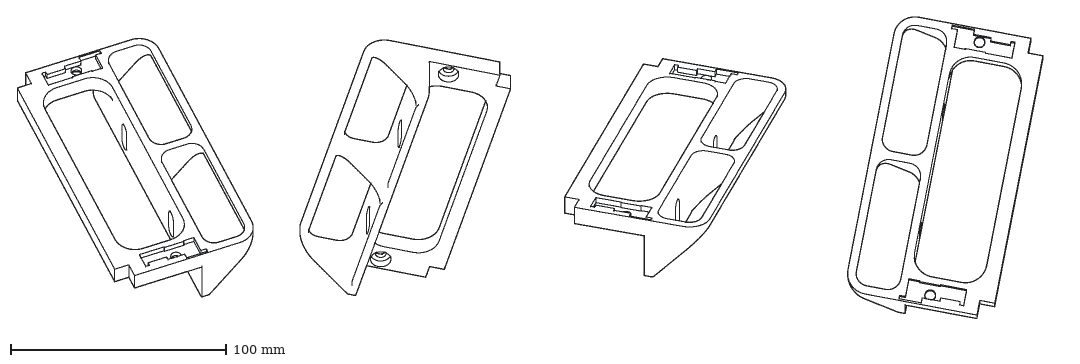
import cadquery as cq

WIDTH = 133.4
DEPTH = 70.0
HEIGHT = 32.0
PLATE_THICKNESS = 9.1
WALL = 4.0
CORNER_RADIUS = 10.0

NOTCH = 7.1

FRONT_WINDOW_WIDTH = 105.6
WALL_FRONT_Y = 41.1
FRONT_WINDOW_RADIUS = 10.0

REAR_WINDOW_RADIUS = 6.0
WALL_BACK_Y = WALL_FRONT_Y + WALL
REAR_EDGE_HEIGHT = 4.0
WEDGE_FILLET = 0.49 * WALL

SLOT_SPACING = 57.1
SLOT_WIDTH = 5.6
SLOT_LENGTH = 16.0
SLOT_CENTRE_Z = -20.0

POCKET_DEPTH = 2.8
HOLE_DIAMETER = 5.0
COUNTERBORE_DIAMETER = 9.5
COUNTERBORE_DEPTH = 3.9
HOLE_INSET = 5.7
HOLE_Y = 30.3

POCKET_OUTLINE = [
    (0.8, 44.1),
    (2.4, 44.1),
    (2.4, 41.3),
    (11.0, 41.3),
    (11.0, 36.1),
    (10.5, 36.1),
    (10.5, 26.4),
    (11.0, 26.4),
    (11.0, 14.0),
    (3.2, 14.0),
    (3.2, 15.9),
    (4.8, 15.9),
    (4.8, 25.2),
    (3.2, 25.2),
    (3.2, 33.6),
    (0.8, 33.6),
]


def make_body():
    """Plate and hanging wedge in one side profile, with rounded rear corners."""
    profile = [
        (0, 0),
        (DEPTH, 0),
        (DEPTH, -REAR_EDGE_HEIGHT),
        (WALL_BACK_Y, -HEIGHT),
        (WALL_FRONT_Y, -HEIGHT),
        (WALL_FRONT_Y, -PLATE_THICKNESS),
        (0, -PLATE_THICKNESS),
    ]
    body = cq.Workplane("YZ").polyline(profile).close().extrude(WIDTH / 2, both=True)
    return body.edges("|Z and >Y").fillet(CORNER_RADIUS)


def round_lower_edges(body):
    """Round every edge of the sloped face and the short bottom edges at the two sides."""
    slope_run = DEPTH - WALL_BACK_Y
    slope_rise = HEIGHT - REAR_EDGE_HEIGHT
    slope_normal = cq.Vector(0, slope_rise, -slope_run)
    sloped_face = body.faces(cq.selectors.DirectionMinMaxSelector(slope_normal))
    bottom_sides = body.faces("<Z").edges("<X or >X")
    return body.newObject(sloped_face.edges().vals() + bottom_sides.vals()).fillet(WEDGE_FILLET)


def through_window(width, front_y, back_y, centre_x, radius):
    """Rounded vertical cutter running through the full height."""
    return (
        cq.Workplane("XY")
        .center(centre_x, (front_y + back_y) / 2)
        .rect(width, back_y - front_y)
        .extrude(-HEIGHT)
        .edges("|Z")
        .fillet(radius)
    )


def make_pocket(side):
    """Stepped recess with its counterbored hole; side is -1 for left and 1 for right."""
    outline = [(side * (WIDTH / 2 - inset), y) for inset, y in POCKET_OUTLINE]
    recess = cq.Workplane("XY").polyline(outline).close().extrude(-POCKET_DEPTH)
    hole_base = cq.Workplane("XY", origin=(side * (WIDTH / 2 - HOLE_INSET), HOLE_Y, -PLATE_THICKNESS))
    hole = hole_base.circle(HOLE_DIAMETER / 2).extrude(PLATE_THICKNESS)
    counterbore = hole_base.circle(COUNTERBORE_DIAMETER / 2).extrude(COUNTERBORE_DEPTH)
    return recess.union(hole).union(counterbore)


def make_notch(side):
    """Square cutter for one front corner."""
    return (
        cq.Workplane("XY")
        .center(side * (WIDTH - NOTCH) / 2, NOTCH / 2)
        .rect(NOTCH, NOTCH)
        .extrude(-PLATE_THICKNESS)
    )


def make_slots():
    """Two vertical slots running back from the front of the mounting wall."""
    return (
        cq.Workplane("XZ", origin=(0, WALL_FRONT_Y, SLOT_CENTRE_Z))
        .pushPoints([(-SLOT_SPACING / 2, 0), (SLOT_SPACING / 2, 0)])
        .slot2D(SLOT_LENGTH, SLOT_WIDTH, 90)
        .extrude(WALL_FRONT_Y - DEPTH)
    )


rear_window_width = (WIDTH - 3 * WALL) / 2
rear_window_x = (rear_window_width + WALL) / 2

result = make_body()
result = result.cut(through_window(FRONT_WINDOW_WIDTH, NOTCH, WALL_FRONT_Y, 0, FRONT_WINDOW_RADIUS))
for side in (-1, 1):
    result = result.cut(
        through_window(rear_window_width, WALL_BACK_Y, DEPTH - WALL, side * rear_window_x, REAR_WINDOW_RADIUS)
    )
    result = result.cut(make_pocket(side))
    result = result.cut(make_notch(side))
result = round_lower_edges(result)
result = result.cut(make_slots())